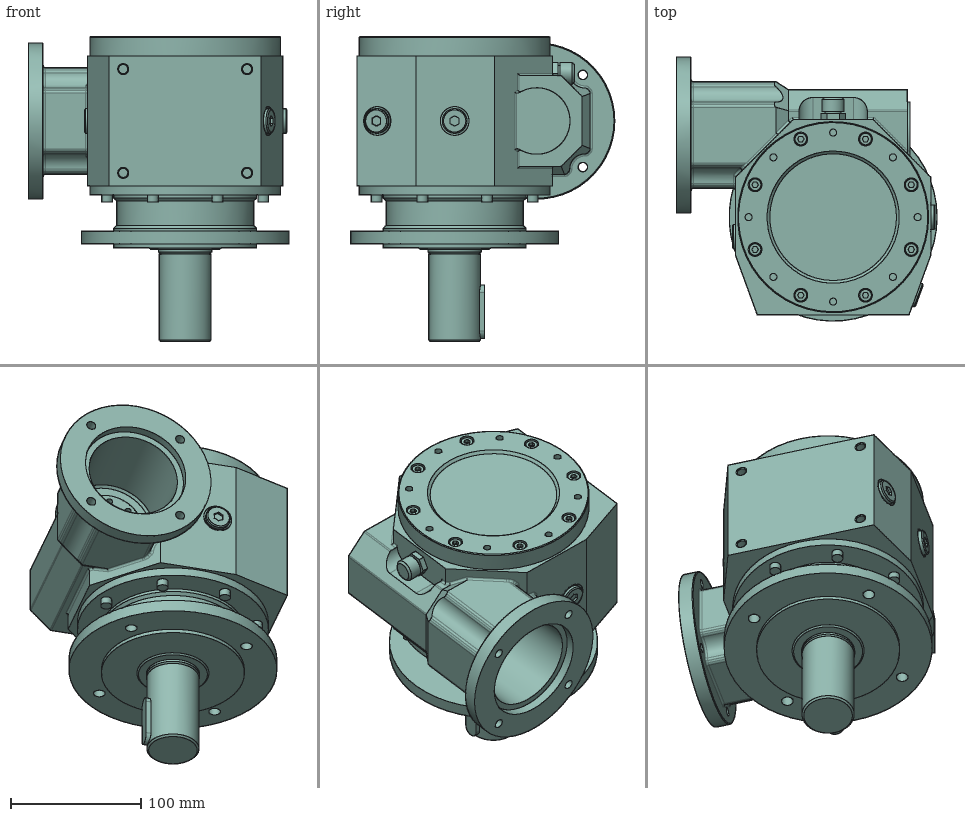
import cadquery as cq
import math

HOUSING_HALF = 75.0
HOUSING_HEIGHT = 100.0
SIDE_HALF = 30.7
SIDE_FRONT_Y = -29.5
FRONT_HALF = 58.5
HOUSING_TOP = HOUSING_HEIGHT / 2
HOUSING_BOTTOM = -HOUSING_TOP
JUNCTION_RADIUS = 1.6
SEAM_TOLERANCE = 0.002

MOUNT_X = 47.5
MOUNT_Z = 39.9
MOUNT_DIAMETER = 7.0
MOUNT_MOUTH = 8.5
MOUNT_DEPTH = 14.0

COVER_DIAMETER = 146.8
COVER_HEIGHT = 15.0
LID_HEIGHT = 6.8
BOLT_CIRCLE = 65.0
BOLT_COUNT = 8
BOLT_STEP = 360 / BOLT_COUNT
COVER_RECESS_DIAMETER = 101.5
COVER_RECESS_DEPTH = 2.0
EDGE_CHAMFER = 0.7
SCREW_POCKET = 10.5
SCREW_HEAD = 9.0
SCREW_SOCKET = 5.0
SCREW_POCKET_DEPTH = 6.0
SCREW_HEAD_HEIGHT = 5.2
SCREW_SOCKET_DEPTH = 2.8
JACK_HOLE = 5.5
LID_BOLT_DIAMETER = 8.5
LID_BOLT_HEIGHT = 5.6

NECK_DIAMETER = 105.5
PILOT_DIAMETER = 110.0
FLANGE_DIAMETER = 160.0
NECK_TOP = -61.5
NECK_BOTTOM = -80.2
FLANGE_TOP = -84.7
FLANGE_BOTTOM = -94.5
PILOT_BOTTOM = -97.5
SEAL_DIAMETER = 55.3
SEAL_HEIGHT = 1.2
FLANGE_HOLE = 9.0
SHAFT_DIAMETER = 40.0
SHAFT_COLLAR_DIAMETER = 41.0
SHAFT_COLLAR_BOTTOM = -100.5
SHAFT_RELIEF_DIAMETER = 37.0
SHAFT_RELIEF_BOTTOM = -102.2
SHAFT_CHAMFER = 1.5
OVERALL_HEIGHT = 234.5
COVER_TOP = HOUSING_TOP + COVER_HEIGHT
LID_BOTTOM = HOUSING_BOTTOM - LID_HEIGHT
SHAFT_BOTTOM = COVER_TOP - OVERALL_HEIGHT
KEY_WIDTH = 12.0
KEY_LENGTH = 41.3
KEY_TOP_Y = 23.0
KEY_BOTTOM = SHAFT_BOTTOM + 2.3

INPUT_Y = 63.0
INPUT_FACE_X = -120.5
INPUT_FLANGE_DIAMETER = 120.0
INPUT_FLANGE_THICKNESS = 11.5
INPUT_BOLT_OFFSET = 35.5
INPUT_BOLT_HOLE = 7.0
SPIGOT_DIAMETER = 80.0
SPIGOT_DEPTH = 7.0
BORE_DIAMETER = 70.4
BORE_FLOOR_X = -44.5
BORE_CHAMFER = 1.9
HUB_DIAMETER = 52.0
HUB_HEIGHT = 1.2
HUB_HOLE = 4.5
HUB_HOLE_CIRCLE = 20.9
HUB_HOLE_DEPTH = 7.0
HUB_HOLE_POINT = 1.5
TUBE_FLAT_HALF = 21.3
TUBE_BEVEL = 4.0
TUBE_EDGE_RADIUS = 2.8
TUBE_NOTCH_RADIUS = 11.7
TUBE_HALF = TUBE_FLAT_HALF + TUBE_NOTCH_RADIUS + 2 * TUBE_BEVEL
TAPER_START_X = -43.9
GEARBOX_START_X = -34.5
GEARBOX_END_X = 57.0
GEARBOX_HALF = 35.0
GEARBOX_FLAT_HALF = 18.8
GEARBOX_EDGE_RADIUS = 1.6
END_CAP_DIAMETER = 51.1
END_CAP_THICKNESS = 2.0

TROUGH_HALF = 26.3
TROUGH_FLOOR_Z = 24.9
TROUGH_RADIUS = 10.8
BREATHER_Z = 36.5
BREATHER_HEX = 19.0
BREATHER_HEX_LENGTH = 4.5
BREATHER_NECK = 12.2
BREATHER_NECK_LENGTH = 1.6
BREATHER_CAP = 17.0
BREATHER_END_Y = 92.0
BREATHER_CHAMFER = 1.6

PLUG_DIAMETER = 19.0
PLUG_SEAT_DIAMETER = 22.0
PLUG_SEAT_DEPTH = 1.0
PLUG_CHAMFER = 1.0
PLUG_SOCKET = 8.0
PLUG_SOCKET_DEPTH = 1.9
SIDE_PLUG_Y = -15.0
FLANK_PLUG_FRACTION = 0.34
PLUG_HEIGHT = 2.3
SIDE_PLUG_HEIGHT = 3.3


def disc(diameter, bottom, top):
    return cq.Workplane("XY").workplane(offset=bottom).circle(diameter / 2).extrude(top - bottom)


def x_disc(diameter, start, end):
    """Disc on the input axis between two X positions."""
    plane = cq.Workplane("YZ", origin=(start, INPUT_Y, 0))
    return plane.circle(diameter / 2).extrude(end - start)


def bolt_points(first_angle):
    angles = [math.radians(first_angle + i * BOLT_STEP) for i in range(BOLT_COUNT)]
    return [(BOLT_CIRCLE * math.cos(a), BOLT_CIRCLE * math.sin(a)) for a in angles]


def make_housing():
    half = HOUSING_HALF
    right = [
        (FRONT_HALF, -half),
        (half, SIDE_FRONT_Y),
        (half, SIDE_HALF),
        (SIDE_HALF, half),
    ]
    left = [(-x, y) for x, y in reversed(right)]
    block = cq.Workplane("XY").workplane(offset=HOUSING_BOTTOM).polyline(right + left).close()
    return block.extrude(HOUSING_HEIGHT)


def octagon(x, half, flat_half):
    points = [
        (half, -flat_half), (half, flat_half), (flat_half, half), (-flat_half, half),
        (-half, flat_half), (-half, -flat_half), (-flat_half, -half), (flat_half, -half),
    ]
    return cq.Workplane("YZ", origin=(x, INPUT_Y, 0)).polyline(points).close()


def polar_point(centre, radius, degrees):
    angle = math.radians(degrees)
    return (centre[0] + radius * math.cos(angle), centre[1] + radius * math.sin(angle))


def quarter_turned(point, turns):
    x, y = point
    for _ in range(turns):
        x, y = -y, x
    return (x, y)


def make_tube():
    """Square tube whose corners are hollowed by a concave arc between two rounded bevels."""
    start = INPUT_FACE_X + INPUT_FLANGE_THICKNESS
    edge = TUBE_EDGE_RADIUS
    outer_centre = TUBE_HALF - edge
    notch_centre = TUBE_HALF - TUBE_BEVEL
    inner_centre = TUBE_FLAT_HALF + TUBE_BEVEL - edge
    chains = [
        [((outer_centre, TUBE_FLAT_HALF), edge, 0, 45)],
        [
            ((notch_centre, inner_centre), edge, 45, 90),
            ((notch_centre, notch_centre), TUBE_NOTCH_RADIUS, 270, 180),
            ((inner_centre, notch_centre), edge, 0, 45),
        ],
        [((TUBE_FLAT_HALF, outer_centre), edge, 45, 90)],
    ]
    outline = cq.Workplane("YZ", origin=(start, INPUT_Y, 0)).moveTo(TUBE_HALF, -TUBE_FLAT_HALF)
    for turns in range(4):
        for chain in chains:
            centre, radius, first, last = chain[0]
            outline = outline.lineTo(*quarter_turned(polar_point(centre, radius, first), turns))
            for centre, radius, first, last in chain:
                middle = polar_point(centre, radius, (first + last) / 2)
                end = polar_point(centre, radius, last)
                outline = outline.threePointArc(quarter_turned(middle, turns), quarter_turned(end, turns))
    return outline.close().extrude(GEARBOX_START_X - start)


def make_taper():
    """Octagonal frustum that brings the tube down to the gearbox outline."""
    slope = (TUBE_HALF - GEARBOX_HALF) / (GEARBOX_START_X - TAPER_START_X)
    growth = slope * (GEARBOX_START_X - INPUT_FACE_X)
    wide_flat_half = GEARBOX_FLAT_HALF + growth * math.tan(math.pi / 8)
    large = octagon(INPUT_FACE_X, GEARBOX_HALF + growth, wide_flat_half).wires().val()
    small = octagon(GEARBOX_START_X, GEARBOX_HALF, GEARBOX_FLAT_HALF).wires().val()
    return cq.Workplane(cq.Solid.makeLoft([large, small], True))


def make_input_flange():
    back = INPUT_FACE_X + INPUT_FLANGE_THICKNESS
    return x_disc(INPUT_FLANGE_DIAMETER, INPUT_FACE_X, back).faces(">X").edges().chamfer(EDGE_CHAMFER)


def make_gearbox():
    length = GEARBOX_END_X - GEARBOX_START_X
    gearbox = octagon(GEARBOX_START_X, GEARBOX_HALF, GEARBOX_FLAT_HALF).extrude(length)
    gearbox = gearbox.edges("|X").fillet(GEARBOX_EDGE_RADIUS)
    return gearbox.union(x_disc(END_CAP_DIAMETER, GEARBOX_END_X, GEARBOX_END_X + END_CAP_THICKNESS))


def blend(first, second):
    """Union of two bodies with a fillet along the line where they meet."""
    joined = first.union(second)
    seam = []
    for edge in joined.edges().vals():
        middle = cq.Vertex.makeVertex(*edge.positionAt(0.5).toTuple())
        if max(first.val().distance(middle), second.val().distance(middle)) < SEAM_TOLERANCE:
            seam.append(edge)
    return joined.newObject(seam).fillet(JUNCTION_RADIUS)


def make_cover():
    cover = disc(COVER_DIAMETER, HOUSING_TOP, COVER_TOP).faces(">Z").edges().chamfer(EDGE_CHAMFER)
    floor_diameter = COVER_RECESS_DIAMETER - 2 * COVER_RECESS_DEPTH
    recess = disc(floor_diameter, COVER_TOP - COVER_RECESS_DEPTH, COVER_TOP + 2.3)
    wall = cq.Solid.makeCone(
        floor_diameter / 2, COVER_RECESS_DIAMETER / 2, COVER_RECESS_DEPTH,
        cq.Vector(0, 0, COVER_TOP - COVER_RECESS_DEPTH),
    )
    cover = cover.cut(recess).cut(cq.Workplane(wall))

    top = cq.Workplane("XY").workplane(offset=COVER_TOP)
    cover = cover.cut(top.pushPoints(bolt_points(0)).circle(JACK_HOLE / 2).extrude(-COVER_HEIGHT))

    screws = bolt_points(BOLT_STEP / 2)
    cover = cover.cut(top.pushPoints(screws).circle(SCREW_POCKET / 2).extrude(-SCREW_POCKET_DEPTH))
    pocket_floor = top.workplane(offset=-SCREW_POCKET_DEPTH)
    cover = cover.union(pocket_floor.pushPoints(screws).circle(SCREW_HEAD / 2).extrude(SCREW_HEAD_HEIGHT))
    head_top = pocket_floor.workplane(offset=SCREW_HEAD_HEIGHT)
    return cover.cut(head_top.pushPoints(screws).polygon(6, SCREW_SOCKET).extrude(-SCREW_SOCKET_DEPTH))


def make_lid_bolts():
    plane = cq.Workplane("XY").workplane(offset=LID_BOTTOM)
    return plane.pushPoints(bolt_points(BOLT_STEP / 2)).circle(LID_BOLT_DIAMETER / 2).extrude(-LID_BOLT_HEIGHT)


def make_output():
    """Lower lid, neck, flange and shaft as one turned body."""
    lid_radius = COVER_DIAMETER / 2
    neck_radius = NECK_DIAMETER / 2
    pilot_radius = PILOT_DIAMETER / 2
    flange_radius = FLANGE_DIAMETER / 2
    seal_radius = SEAL_DIAMETER / 2
    collar_radius = SHAFT_COLLAR_DIAMETER / 2
    relief_radius = SHAFT_RELIEF_DIAMETER / 2
    shaft_radius = SHAFT_DIAMETER / 2
    step = pilot_radius - neck_radius
    seal_bottom = PILOT_BOTTOM - SEAL_HEIGHT
    profile = [
        (0, HOUSING_BOTTOM),
        (lid_radius, HOUSING_BOTTOM),
        (lid_radius, LID_BOTTOM),
        (pilot_radius, LID_BOTTOM),
        (pilot_radius, NECK_TOP + step),
        (neck_radius, NECK_TOP),
        (neck_radius, NECK_BOTTOM),
        (pilot_radius, NECK_BOTTOM - step),
        (pilot_radius, FLANGE_TOP),
        (flange_radius, FLANGE_TOP),
        (flange_radius, FLANGE_BOTTOM),
        (pilot_radius, FLANGE_BOTTOM),
        (pilot_radius, PILOT_BOTTOM),
        (seal_radius, PILOT_BOTTOM),
        (seal_radius - SEAL_HEIGHT, seal_bottom),
        (collar_radius, seal_bottom),
        (collar_radius, SHAFT_COLLAR_BOTTOM),
        (relief_radius, SHAFT_RELIEF_BOTTOM),
        (shaft_radius, SHAFT_RELIEF_BOTTOM),
        (shaft_radius, SHAFT_BOTTOM + SHAFT_CHAMFER),
        (shaft_radius - SHAFT_CHAMFER, SHAFT_BOTTOM),
        (0, SHAFT_BOTTOM),
    ]
    body = cq.Workplane("XZ").polyline(profile).close().revolve(360, (0, 0, 0), (0, 1, 0))
    holes = cq.Workplane("XY").workplane(offset=FLANGE_BOTTOM)
    holes = holes.polarArray(BOLT_CIRCLE, 45, 360, 4).circle(FLANGE_HOLE / 2)
    return body.cut(holes.extrude(FLANGE_TOP - FLANGE_BOTTOM))


def make_key():
    middle = KEY_BOTTOM + KEY_LENGTH / 2
    plane = cq.Workplane("XZ", origin=(0, 0, middle))
    return plane.slot2D(KEY_LENGTH, KEY_WIDTH, 90).extrude(-KEY_TOP_Y)


def make_input_bore():
    cutter = x_disc(SPIGOT_DIAMETER, INPUT_FACE_X, INPUT_FACE_X + SPIGOT_DEPTH)
    bore = x_disc(BORE_DIAMETER, INPUT_FACE_X, BORE_FLOOR_X).faces(">X").edges().chamfer(BORE_CHAMFER)
    bore = bore.cut(x_disc(HUB_DIAMETER, BORE_FLOOR_X - HUB_HEIGHT, BORE_FLOOR_X))
    hub = cq.Workplane("YZ", origin=(BORE_FLOOR_X - HUB_HEIGHT, INPUT_Y, 0))
    hub_holes = hub.polarArray(HUB_HOLE_CIRCLE, 0, 360, 8).circle(HUB_HOLE / 2)
    hub_holes = hub_holes.extrude(HUB_HOLE_DEPTH).faces(">X").edges().chamfer(HUB_HOLE_POINT)
    face = cq.Workplane("YZ", origin=(INPUT_FACE_X, INPUT_Y, 0))
    bolt_holes = face.rect(2 * INPUT_BOLT_OFFSET, 2 * INPUT_BOLT_OFFSET, forConstruction=True).vertices()
    bolt_holes = bolt_holes.circle(INPUT_BOLT_HOLE / 2).extrude(INPUT_FLANGE_THICKNESS)
    return cutter.union(bore).union(hub_holes).union(bolt_holes)


def make_mount_holes():
    holes = cq.Workplane("XY")
    mouth_depth = (MOUNT_MOUTH - MOUNT_DIAMETER) / 2
    for x in (-MOUNT_X, MOUNT_X):
        for z in (-MOUNT_Z, MOUNT_Z):
            mouth = cq.Vector(x, -HOUSING_HALF, z)
            inward = cq.Vector(0, 1, 0)
            bore = cq.Solid.makeCylinder(MOUNT_DIAMETER / 2, MOUNT_DEPTH, mouth, inward)
            cone = cq.Solid.makeCone(MOUNT_MOUTH / 2, MOUNT_DIAMETER / 2, mouth_depth, mouth, inward)
            holes = holes.union(cq.Workplane(bore)).union(cq.Workplane(cone))
    return holes


def make_trough():
    """Round-bottomed channel along Y, open upwards, starting at the +Y face of the housing."""
    top = HOUSING_TOP
    plane = cq.Workplane("XZ", origin=(0, HOUSING_HALF, (top + TROUGH_FLOOR_Z) / 2))
    channel = plane.rect(2 * TROUGH_HALF, top - TROUGH_FLOOR_Z).extrude(-HOUSING_HALF)
    return channel.edges("|Y and <Z").fillet(TROUGH_RADIUS)


def make_breather():
    """Hexagon, narrow neck and round cap standing on the +Y face."""
    hex_end = HOUSING_HALF + BREATHER_HEX_LENGTH
    cap_start = hex_end + BREATHER_NECK_LENGTH

    def at(y):
        return cq.Workplane("XZ", origin=(0, y, BREATHER_Z))

    hexagon = at(HOUSING_HALF).polygon(6, BREATHER_HEX).extrude(-BREATHER_HEX_LENGTH)
    neck = at(hex_end).circle(BREATHER_NECK / 2).extrude(-BREATHER_NECK_LENGTH)
    cap = at(cap_start).circle(BREATHER_CAP / 2).extrude(cap_start - BREATHER_END_Y)
    cap = cap.faces(">Y").edges().chamfer(BREATHER_CHAMFER)
    return hexagon.union(neck).union(cap)


def add_plug(body, point, normal, height):
    """Oil plug with a hexagon socket, standing in a shallow round seat."""
    seat_plane = cq.Plane(origin=point, xDir=(0, 0, 1), normal=normal)
    seat = cq.Workplane(seat_plane)
    floor = seat.workplane(offset=-PLUG_SEAT_DEPTH)
    plug = floor.circle(PLUG_DIAMETER / 2).extrude(PLUG_SEAT_DEPTH + height)
    rim = plug.faces(cq.selectors.DirectionMinMaxSelector(cq.Vector(*normal))).edges()
    plug = rim.chamfer(PLUG_CHAMFER)
    socket = seat.workplane(offset=height).polygon(6, PLUG_SOCKET).extrude(-PLUG_SOCKET_DEPTH)
    body = body.cut(seat.circle(PLUG_SEAT_DIAMETER / 2).extrude(-PLUG_SEAT_DEPTH))
    return body.union(plug.cut(socket))


arm = make_tube().intersect(make_taper()).union(make_gearbox())
result = blend(make_housing(), arm)
result = blend(result, make_input_flange())
result = result.cut(make_trough()).cut(make_input_bore()).cut(make_mount_holes())

result = result.union(make_cover()).union(make_output()).union(make_lid_bolts()).union(make_key())

result = result.union(make_breather())
result = add_plug(result, (-HOUSING_HALF, SIDE_PLUG_Y, 0), (-1, 0, 0), PLUG_HEIGHT)
result = add_plug(result, (HOUSING_HALF, 0, 0), (1, 0, 0), SIDE_PLUG_HEIGHT)
flank_x = HOUSING_HALF - FRONT_HALF
flank_y = SIDE_FRONT_Y + HOUSING_HALF
flank_point = (
    FRONT_HALF + FLANK_PLUG_FRACTION * flank_x,
    -HOUSING_HALF + FLANK_PLUG_FRACTION * flank_y,
    0,
)
result = add_plug(result, flank_point, (flank_y, -flank_x, 0), PLUG_HEIGHT)